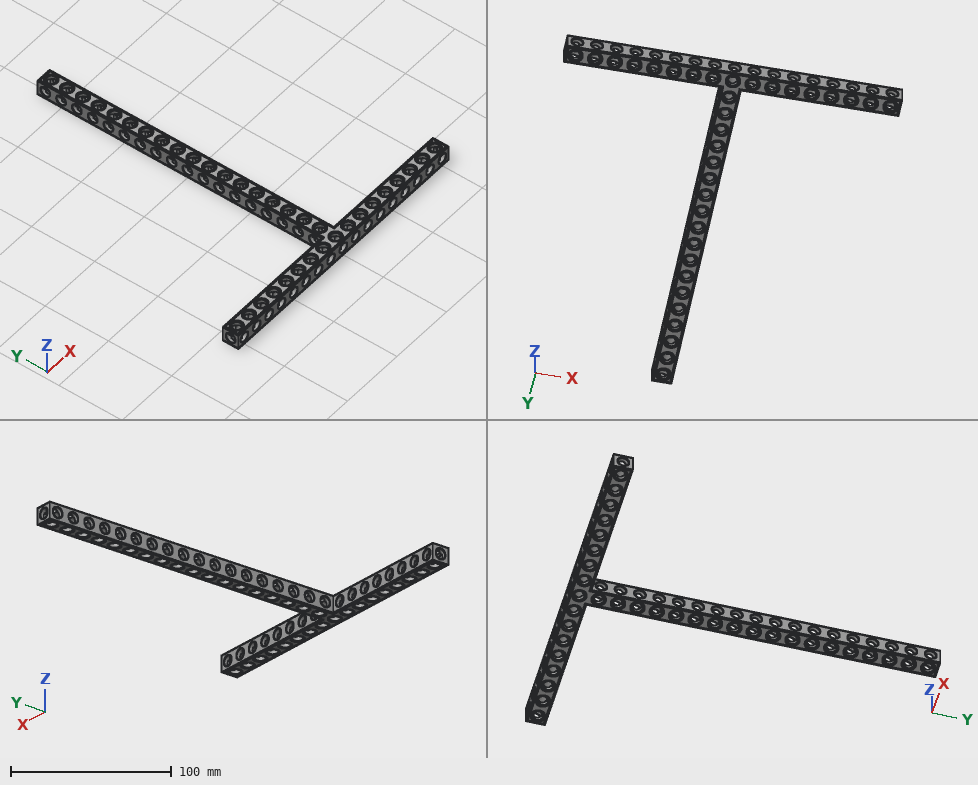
import cadquery as cq

overall_length = 237.5
stem_cells = 19
bar_cells = 17
hole_diameter = 7.0
recess_diameter = 9.3
side_recess_diameter = 7.8
step_height = 0.2

pitch = overall_length / stem_cells
half_pitch = pitch / 2
bar_length = bar_cells * pitch
stem_end = overall_length - half_pitch
hole_radius = hole_diameter / 2

step_width = (recess_diameter - hole_diameter) / 4

bar_centres = [(i - bar_cells // 2) * pitch for i in range(bar_cells)]
stem_centres = [i * pitch for i in range(1, stem_cells)]

vertical_rim = [
    (recess_diameter, step_height),
    (recess_diameter - 2 * step_width, 2 * step_height),
]
side_rim = [(side_recess_diameter, step_height)]


def tee_layer(inset, drop):
    """Tee plate with its outline pulled in by inset and both flat faces lowered by drop."""
    width = pitch - 2 * inset
    height = pitch - 2 * drop
    bar = cq.Workplane("XY").box(bar_length - 2 * inset, width, height)
    stem = (
        cq.Workplane("XY")
        .center(0, overall_length / 2 - half_pitch)
        .box(width, overall_length - 2 * inset, height)
    )
    return bar.union(stem)


def tee_body():
    """Tee whose top and bottom outlines step down to the side faces in two small steps."""
    return (
        tee_layer(0, 2 * step_height)
        .union(tee_layer(step_width, step_height))
        .union(tee_layer(2 * step_width, 0))
    )


def stepped_hole(start, end, rim):
    """Cutters for a straight hole from start to end with the same stepped rim at both mouths."""
    axis = (end - start).normalized()
    cutters = [cq.Solid.makeCylinder(hole_radius, (end - start).Length, start, axis)]
    for diameter, depth in rim:
        cutters.append(cq.Solid.makeCylinder(diameter / 2, depth, start, axis))
        cutters.append(cq.Solid.makeCylinder(diameter / 2, depth, end, axis * -1))
    return cutters


def vertical_hole(x, y):
    return stepped_hole(cq.Vector(x, y, -half_pitch), cq.Vector(x, y, half_pitch), vertical_rim)


def hole_along_x(y, half_length):
    return stepped_hole(cq.Vector(-half_length, y, 0), cq.Vector(half_length, y, 0), side_rim)


def hole_along_y(x, end_y):
    return stepped_hole(cq.Vector(x, -half_pitch, 0), cq.Vector(x, end_y, 0), side_rim)


cutters = hole_along_x(0, bar_length / 2)
for x in bar_centres:
    cutters += vertical_hole(x, 0)
    cutters += hole_along_y(x, stem_end if x == 0 else half_pitch)

for y in stem_centres:
    cutters += vertical_hole(0, y)
    cutters += hole_along_x(y, half_pitch)

result = cq.Workplane("XY").newObject(tee_body().val().cut(*cutters).Solids())